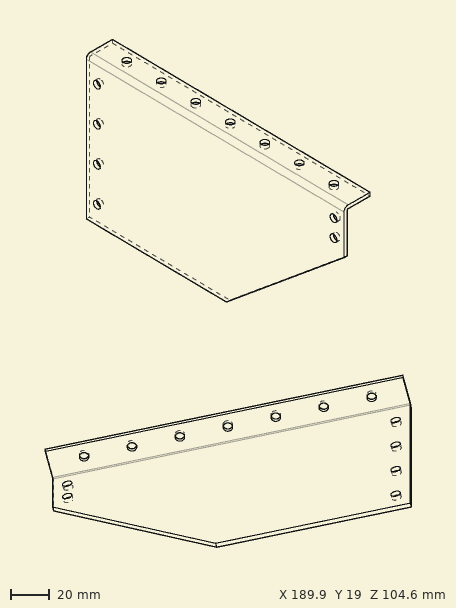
import cadquery as cq

length = 189.9
flange_depth = 19.0
height = 104.6

thickness = 2.5
bend_outer_radius = 3.0
bend_inner_radius = bend_outer_radius - thickness

bottom_edge_length = 103.3
right_edge_height = 32.0

hole_diameter = 5.0
hole_pitch = 25.5
edge_distance = 7.8
left_hole_count = 4
left_top_hole_drop = 15.4
right_hole_count = 2
right_hole_drop = 11.0
right_hole_pitch = 12.7
flange_hole_count = 7
flange_first_hole = 18.5

outer_block = (
    cq.Workplane("YZ")
    .rect(flange_depth, height, centered=False)
    .extrude(length)
)
inner_block = (
    cq.Workplane("YZ")
    .rect(flange_depth, height - thickness, centered=False)
    .extrude(length)
    .translate((0, thickness, 0))
    .edges("|X and <Y and >Z")
    .fillet(bend_inner_radius)
)
bracket = outer_block.edges("|X and <Y and >Z").fillet(bend_outer_radius).cut(inner_block)

corner = (
    cq.Workplane("XZ")
    .moveTo(bottom_edge_length, 0)
    .lineTo(length, 0)
    .lineTo(length, height - right_edge_height)
    .close()
    .extrude(-flange_depth)
)
bracket = bracket.cut(corner)

left_holes = [
    (edge_distance, height - left_top_hole_drop - i * hole_pitch)
    for i in range(left_hole_count)
]
right_holes = [
    (length - edge_distance, height - right_hole_drop - i * right_hole_pitch)
    for i in range(right_hole_count)
]
web_holes = (
    cq.Workplane("XZ")
    .pushPoints(left_holes + right_holes)
    .circle(hole_diameter / 2)
    .extrude(-thickness)
)

flange_holes = (
    cq.Workplane("XY", origin=(0, 0, height - thickness))
    .pushPoints([
        (flange_first_hole + i * hole_pitch, flange_depth - edge_distance)
        for i in range(flange_hole_count)
    ])
    .circle(hole_diameter / 2)
    .extrude(thickness)
)

result = bracket.cut(web_holes).cut(flange_holes)